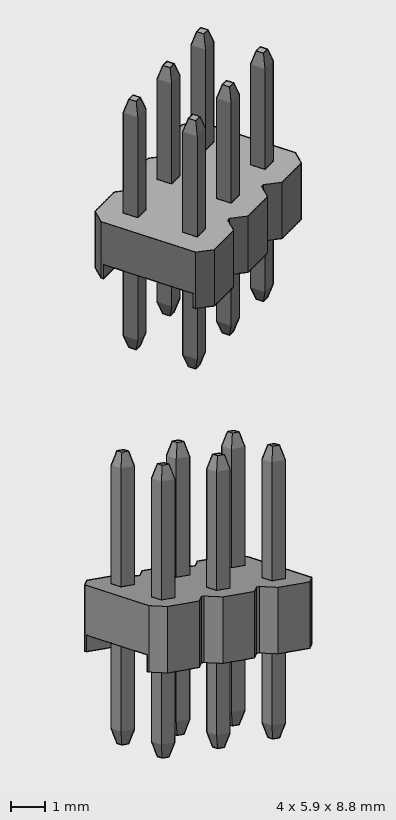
import cadquery as cq

columns = 2
rows = 3
pitch = 2.0

housing_width = 4.0
housing_length = 5.9
housing_bottom = 2.8
housing_height = 2.0
corner_cut_x = 0.41
corner_cut_y = 0.38
notch_floor = 0.1
foot_width = 0.5
foot_height = 0.5

pin_size = 0.49
pin_length = 8.8
pin_tip_size = 0.25
pin_tip_length = 0.45


def side_notch(x_side, y_center):
    """Prism that notches the side x_side (+1 or -1) of the housing, tapering towards its floor."""
    outer_x = x_side * housing_width / 2
    floor_x = outer_x - x_side * corner_cut_x
    floor_half = notch_floor / 2
    mouth_half = floor_half + corner_cut_y
    return (
        cq.Workplane("XY")
        .workplane(offset=housing_bottom)
        .polyline([
            (outer_x, y_center - mouth_half),
            (floor_x, y_center - floor_half),
            (floor_x, y_center + floor_half),
            (outer_x, y_center + mouth_half),
        ])
        .close()
        .extrude(housing_height)
    )


def housing():
    """Block with notched sides and cut corners, standing on a foot along each side."""
    block = (
        cq.Workplane("XY")
        .workplane(offset=housing_bottom)
        .rect(housing_width, housing_length)
        .extrude(housing_height)
    )
    channel = (
        cq.Workplane("XY")
        .workplane(offset=housing_bottom)
        .rect(housing_width - 2 * foot_width, housing_length)
        .extrude(foot_height)
    )
    block = block.cut(channel)

    for x_side in (-1, 1):
        for boundary in range(rows + 1):
            y_center = (boundary - rows / 2) * pitch
            block = block.cut(side_notch(x_side, y_center))
    return block


def pin_tip(base_z, direction):
    """Square taper that starts at base_z and points up (+1) or down (-1)."""
    return (
        cq.Workplane("XY")
        .workplane(offset=base_z)
        .rect(pin_size, pin_size)
        .workplane(offset=direction * pin_tip_length)
        .rect(pin_tip_size, pin_tip_size)
        .loft(ruled=True)
    )


def pin():
    """Square pin on the Z axis with both ends tapered."""
    shank_length = pin_length - 2 * pin_tip_length
    shank = (
        cq.Workplane("XY")
        .workplane(offset=pin_tip_length)
        .rect(pin_size, pin_size)
        .extrude(shank_length)
    )
    lower_tip = pin_tip(pin_tip_length, -1)
    upper_tip = pin_tip(pin_tip_length + shank_length, 1)
    return shank.union(lower_tip).union(upper_tip)


result = housing()
single_pin = pin()
for column in range(columns):
    for row in range(rows):
        x = (column - (columns - 1) / 2) * pitch
        y = (row - (rows - 1) / 2) * pitch
        result = result.union(single_pin.translate((x, y, 0)))